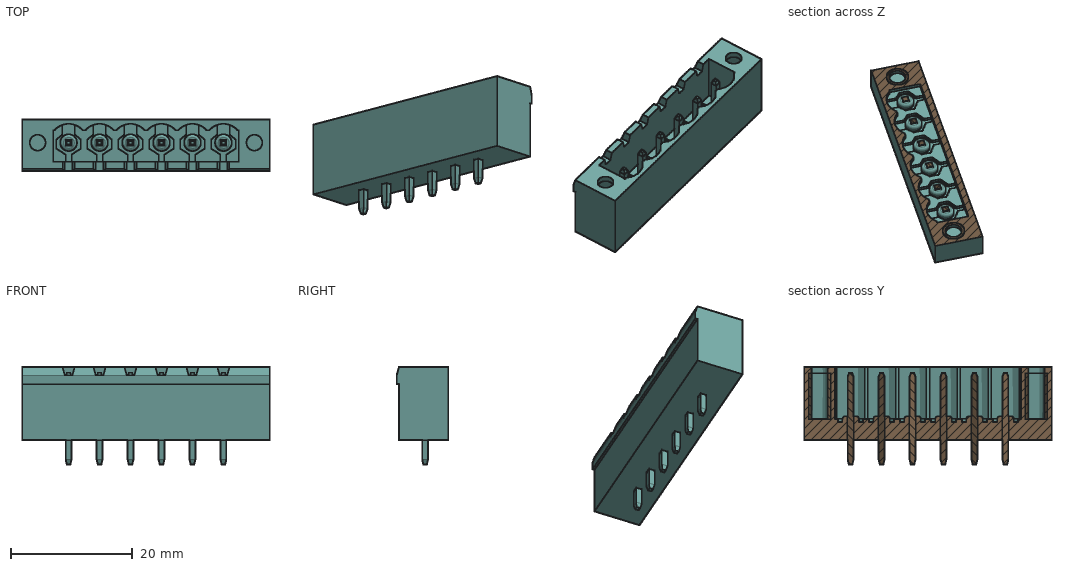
import cadquery as cq


pin_count = 6
pitch = 5.1
pin_positions = [(i - (pin_count - 1) / 2) * pitch for i in range(pin_count)]

length = 40.65
height = 12.0
back_y = 3.8
front_y = -4.3
lip_projection = 0.35
lip_height = 2.8
lip_chamfer_height = 1.35

pocket_length = pin_count * pitch
pocket_back_y = 2.07
pocket_front_y = -3.15
lobe_radius = 3.1
pocket_depth = 8.55
floor_z = height - pocket_depth

recess_depth = 0.5
recess_back_half_width = 1.0
recess_half_width = 2.05
recess_front_half_width = 0.5
recess_shoulder_back_y = 1.35
recess_side_back_y = 0.5
recess_side_front_y = -0.98
recess_shoulder_front_y = -1.95
recess_z = floor_z - recess_depth

collar_diameter = 2.75
collar_rounding = 0.5
collar_height = 0.98

slot_top_width = 2.0
slot_bottom_width = 1.25
slot_depth = lip_chamfer_height

hole_diameter = 2.6
hole_depth = pocket_depth
hole_x = (pin_count + 1) / 2 * pitch
sleeve_outer_diameter = 3.5
sleeve_top_gap = 1.05
hole_floor_z = height - hole_depth
sleeve_length = hole_depth - sleeve_top_gap

pin_width = 1.0
pin_top_gap = 0.98
pin_tail = 4.02
top_point_width = 0.53
top_point_length = 0.65
tail_point_width = 0.6
tail_point_length = 0.9
pin_top_z = height - pin_top_gap


def housing_block():
    lip_y = front_y - lip_projection
    profile = [
        (back_y, 0),
        (front_y, 0),
        (front_y, height - lip_height),
        (lip_y, height - lip_height),
        (lip_y, height - lip_chamfer_height),
        (front_y, height),
        (back_y, height),
    ]
    return cq.Workplane("YZ").polyline(profile).close().extrude(length / 2, both=True)


def pocket_space(bottom_z):
    """Pocket volume from bottom_z up to the top of the housing."""
    depth = height - bottom_z
    pocket_width = pocket_back_y - pocket_front_y
    space = (
        cq.Workplane("XY", origin=(0, (pocket_back_y + pocket_front_y) / 2, bottom_z))
        .rect(pocket_length, pocket_width)
        .extrude(depth)
    )
    for x in pin_positions:
        lobe = cq.Workplane("XY", origin=(x, 0, bottom_z)).circle(lobe_radius).extrude(depth)
        bay = cq.Workplane("XY", origin=(x, 0, bottom_z)).rect(pitch, 2 * lobe_radius).extrude(depth)
        space = space.union(lobe.intersect(bay))
    return space


def floor_recess(x):
    right_side = [
        (recess_back_half_width, lobe_radius),
        (recess_back_half_width, recess_shoulder_back_y),
        (recess_half_width, recess_side_back_y),
        (recess_half_width, recess_side_front_y),
        (recess_front_half_width, recess_shoulder_front_y),
        (recess_front_half_width, pocket_front_y),
    ]
    left_side = [(-half_width, y) for half_width, y in reversed(right_side)]
    return (
        cq.Workplane("XY", origin=(x, 0, recess_z))
        .polyline(right_side + left_side)
        .close()
        .extrude(recess_depth)
    )


def collar(x):
    return (
        cq.Workplane("XY", origin=(x, 0, recess_z))
        .circle(collar_diameter / 2)
        .extrude(collar_height)
        .faces(">Z")
        .edges()
        .fillet(collar_rounding)
    )


def coding_slot(x):
    slot_end_y = front_y - lip_projection
    profile = [
        (-slot_top_width / 2, height),
        (slot_top_width / 2, height),
        (slot_bottom_width / 2, height - slot_depth),
        (-slot_bottom_width / 2, height - slot_depth),
    ]
    return (
        cq.Workplane("XZ", origin=(x, pocket_front_y, 0))
        .polyline(profile)
        .close()
        .extrude(pocket_front_y - slot_end_y)
    )


def tapered_point(x, base_z, tip_z, tip_width):
    """Square point of a pin, narrowing from its full width at base_z to tip_width at tip_z."""
    return (
        cq.Workplane("XY", origin=(x, 0, base_z))
        .rect(pin_width, pin_width)
        .workplane(offset=tip_z - base_z)
        .rect(tip_width, tip_width)
        .loft(ruled=True)
    )


def make_pin(x):
    shank_top_z = pin_top_z - top_point_length
    shank_bottom_z = tail_point_length - pin_tail
    shank = (
        cq.Workplane("XY", origin=(x, 0, shank_bottom_z))
        .rect(pin_width, pin_width)
        .extrude(shank_top_z - shank_bottom_z)
    )
    top_point = tapered_point(x, shank_top_z, pin_top_z, top_point_width)
    tail_point = tapered_point(x, shank_bottom_z, -pin_tail, tail_point_width)
    return shank.union(top_point).union(tail_point)


def sleeve_seat(x):
    return (
        cq.Workplane("XY", origin=(x, 0, hole_floor_z))
        .circle(sleeve_outer_diameter / 2)
        .extrude(sleeve_length)
    )


def fastening_hole(x):
    return (
        cq.Workplane("XY", origin=(x, 0, hole_floor_z))
        .circle(hole_diameter / 2)
        .extrude(hole_depth)
    )


def make_sleeve(x):
    return sleeve_seat(x).cut(fastening_hole(x))


def make_housing():
    pocket_with_recesses = pocket_space(recess_z)
    housing = housing_block().cut(pocket_space(floor_z))
    for x in pin_positions:
        recess = floor_recess(x).intersect(pocket_with_recesses)
        housing = housing.cut(recess).union(collar(x)).cut(coding_slot(x))
        pin_hole = cq.Workplane("XY", origin=(x, 0, 0)).rect(pin_width, pin_width).extrude(height)
        housing = housing.cut(pin_hole)
    for x in (-hole_x, hole_x):
        housing = housing.cut(sleeve_seat(x)).cut(fastening_hole(x))
    return housing


housing = make_housing()
pins = [make_pin(x) for x in pin_positions]
sleeves = [make_sleeve(x) for x in (-hole_x, hole_x)]

result = cq.Compound.makeCompound(
    [housing.val(), *[pin.val() for pin in pins], *[sleeve.val() for sleeve in sleeves]]
)